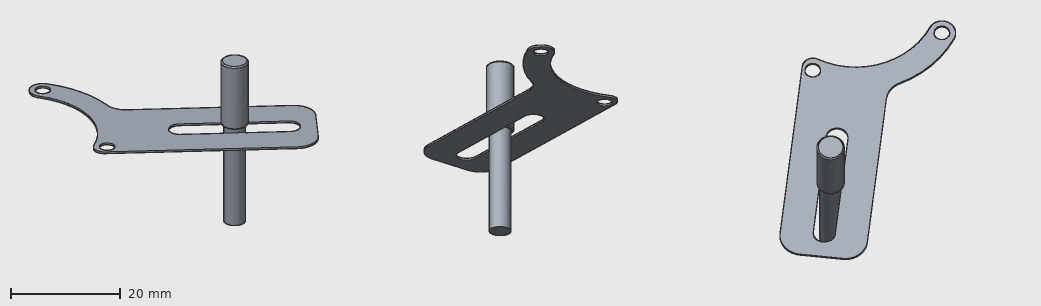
import cadquery as cq
import math


plate_thickness = 0.4
arm_angle = 65.0
arm_width = 16.0
arm_corner_radius = 4.0
arm_end_margin = 5.02

foot_inner_radius = 15.02
foot_width = 5.0
foot_middle_radius = foot_inner_radius + foot_width / 2
foot_outer_radius = foot_inner_radius + foot_width
foot_end_angle = 135.0
hole_angles = (45.0, foot_end_angle)
hole_diameter = 2.8
foot_tip_radius = 2.0
foot_blend_radius = 4.0

slot_width = 4.0
slot_spacing = 20.0
slot_center_distance = 40.0
arm_length = slot_center_distance + slot_spacing / 2 + arm_end_margin

shaft_diameter = slot_width
shaft_length = 20.0
head_diameter = 5.02
head_length = 13.0
head_chamfer = 0.25
head_gap = 0.85


def polar(radius, angle):
    """Point at the given distance and angle (degrees) from the origin."""
    return (radius * math.cos(math.radians(angle)), radius * math.sin(math.radians(angle)))


def arm_point(along, across):
    """Point on the arm: distance along its axis, and to the right of it."""
    axis_x, axis_y = polar(1, arm_angle)
    return (along * axis_x + across * axis_y, along * axis_y - across * axis_x)


def fillet_corner(plate, point, radius):
    """Round the upright plate edge that stands at the given point."""
    edge = cq.selectors.NearestToPointSelector((*point, plate_thickness / 2))
    return plate.edges("|Z").edges(edge).fillet(radius)


def make_arm():
    side = arm_width / 2
    corners = [(0, -side), (arm_length, -side), (arm_length, side), (0, side)]
    outline = [arm_point(along, across) for along, across in corners]
    return cq.Workplane("XY").polyline(outline).close().extrude(plate_thickness)


def make_foot():
    """Curved band from the arm's axis to a round end about the far hole."""
    middle_angle = (arm_angle + foot_end_angle) / 2
    hole_x, hole_y = polar(foot_middle_radius, foot_end_angle)
    cap_x, cap_y = polar(foot_width / 2, foot_end_angle + 90)
    end_cap_point = (hole_x + cap_x, hole_y + cap_y)
    return (
        cq.Workplane("XY")
        .moveTo(*polar(foot_outer_radius, arm_angle))
        .threePointArc(polar(foot_outer_radius, middle_angle), polar(foot_outer_radius, foot_end_angle))
        .threePointArc(end_cap_point, polar(foot_inner_radius, foot_end_angle))
        .threePointArc(polar(foot_inner_radius, middle_angle), polar(foot_inner_radius, arm_angle))
        .close()
        .extrude(plate_thickness)
    )


def make_plate():
    side = arm_width / 2
    inner_disc = cq.Workplane("XY").circle(foot_inner_radius).extrude(plate_thickness)
    plate = make_arm().cut(inner_disc).union(make_foot())

    for across in (-side, side):
        plate = fillet_corner(plate, arm_point(arm_length, across), arm_corner_radius)
    tip_along = math.sqrt(foot_inner_radius**2 - side**2)
    plate = fillet_corner(plate, arm_point(tip_along, side), foot_tip_radius)
    blend_along = math.sqrt(foot_outer_radius**2 - side**2)
    plate = fillet_corner(plate, arm_point(blend_along, -side), foot_blend_radius)

    hole_centers = [polar(foot_middle_radius, angle) for angle in hole_angles]
    holes = cq.Workplane("XY").pushPoints(hole_centers).circle(hole_diameter / 2).extrude(plate_thickness)
    slot = (
        cq.Workplane("XY")
        .center(*arm_point(slot_center_distance, 0))
        .slot2D(slot_spacing + slot_width, slot_width, arm_angle)
        .extrude(plate_thickness)
    )
    return plate.cut(holes).cut(slot)


def make_pin():
    """Shaft through the middle of the slot, with a chamfered head above the plate."""
    head_bottom = plate_thickness + head_gap
    base = cq.Workplane("XY", origin=(*arm_point(slot_center_distance, 0), head_bottom))
    head = base.circle(head_diameter / 2).extrude(head_length).edges("%CIRCLE").chamfer(head_chamfer)
    shaft = base.circle(shaft_diameter / 2).extrude(-shaft_length)
    return head.union(shaft)


plate = make_plate()
pin = make_pin()
result = cq.Compound.makeCompound([plate.solids().val(), pin.solids().val()])